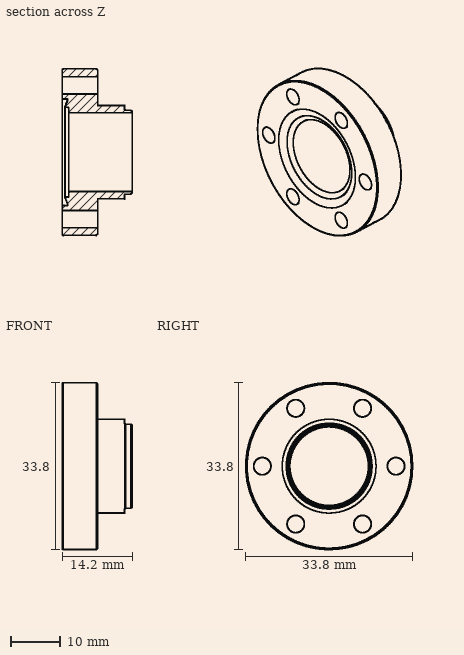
import cadquery as cq
import math

total_length = 14.22
flange_radius = 16.9
flange_thickness = 7.23
front_chamfer = 0.2
back_chamfer = 0.3

neck_radius = 9.5
neck_end = 12.67
lip_radius = 8.5
lip_root_chamfer = 0.17
lip_end_chamfer = 0.3
bore_radius = 7.95

recess_radius = 10.75
recess_depth = 1.15
floor_slope = 20.0
knife_radius = 9.05
knife_depth = recess_depth - (recess_radius - knife_radius) * math.tan(math.radians(floor_slope))
seat_depth = 1.32
recess_fillet = 0.1

edge_tolerance = 0.005

bolt_count = 6
bolt_circle_radius = 13.5
bolt_hole_radius = 1.72


def make_body():
    """Revolve the half section, drawn as (axial, radial) points, about X."""
    section = [
        (seat_depth, bore_radius),
        (seat_depth, knife_radius),
        (knife_depth, knife_radius),
        (recess_depth, recess_radius),
        (0, recess_radius),
        (0, flange_radius - front_chamfer),
        (front_chamfer, flange_radius),
        (flange_thickness - back_chamfer, flange_radius),
        (flange_thickness, flange_radius - back_chamfer),
        (flange_thickness, neck_radius),
        (neck_end, neck_radius),
        (neck_end, lip_radius + lip_root_chamfer),
        (neck_end + lip_root_chamfer, lip_radius),
        (total_length - lip_end_chamfer, lip_radius),
        (total_length, lip_radius - lip_end_chamfer),
        (total_length, bore_radius),
    ]
    return cq.Workplane("XY").polyline(section).close().revolve(360, (0, 0, 0), (1, 0, 0))


def round_recess(body):
    """Round the seat corner, the knife edge and the outer floor corner."""
    corners = [
        (seat_depth, knife_radius),
        (knife_depth, knife_radius),
        (recess_depth, recess_radius),
    ]

    def is_corner(edge):
        if edge.geomType() != "CIRCLE":
            return False
        depth = edge.startPoint().x
        radius = edge.radius()
        return any(math.dist((depth, radius), corner) < edge_tolerance for corner in corners)

    return body.edges().filter(is_corner).fillet(recess_fillet)


def make_bolt_holes():
    """Cylinders through the flange, the first one on the Y axis."""
    return (
        cq.Workplane("YZ")
        .polarArray(bolt_circle_radius, 0, 360, bolt_count)
        .circle(bolt_hole_radius)
        .extrude(flange_thickness)
    )


result = round_recess(make_body()).cut(make_bolt_holes())